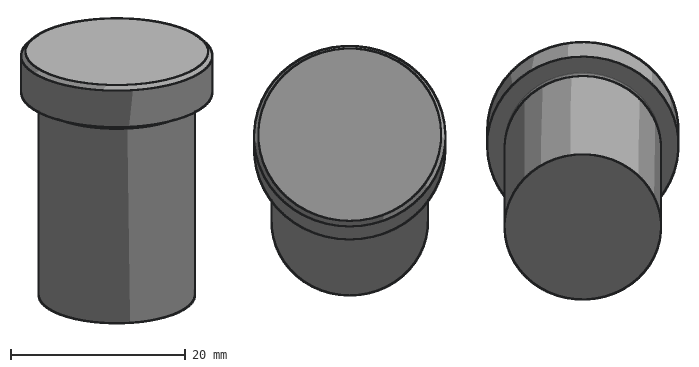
import cadquery as cq

total_length = 30.0
head_diameter = 22.0
head_height = 5.0
head_chamfer = 0.5
shank_diameter = 18.0
relief_radius = 0.5

head_radius = head_diameter / 2
shank_radius = shank_diameter / 2
shank_length = total_length - head_height
relief_center_z = shank_length - relief_radius
relief_bottom_z = relief_center_z - relief_radius
relief_floor_radius = shank_radius - relief_radius


def half_profile():
    """Half section of the headed pin, as (radius, height) on the XZ plane."""
    return (
        cq.Workplane("XZ")
        .lineTo(shank_radius, 0)
        .lineTo(shank_radius, relief_bottom_z)
        .threePointArc((relief_floor_radius, relief_center_z), (shank_radius, shank_length))
        .lineTo(head_radius, shank_length)
        .lineTo(head_radius, total_length - head_chamfer)
        .lineTo(head_radius - head_chamfer, total_length)
        .lineTo(0, total_length)
        .close()
    )


result = half_profile().revolve(360, (0, 0), (0, 1))